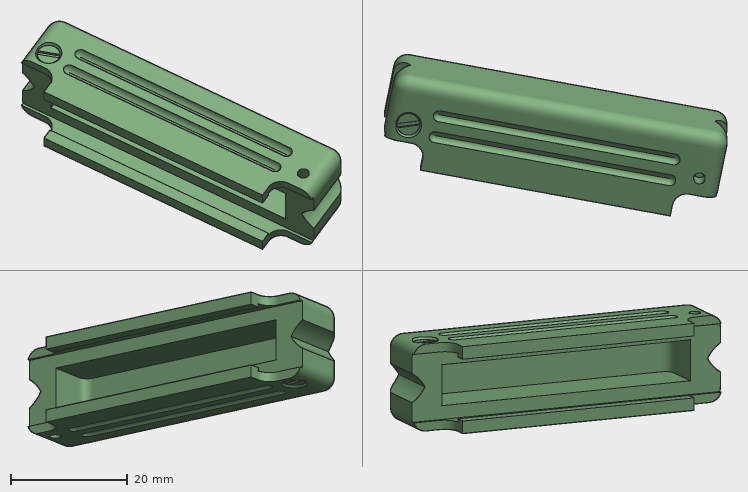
import cadquery as cq

length = 58.4
depth = 15.9
height = 15.35
top = height / 2
edge_radius = 2.4

block_depth = 10.85
ear_depth = 11.4
plate_thickness = 1.65
tab_width = 43.8
tab_corner_radius = 2.45
lip_thickness = 2.2
lip_depth = depth - ear_depth - tab_corner_radius

pocket_width = 47.0
pocket_height = 7.25
pocket_depth = block_depth - edge_radius
pocket_radius = (pocket_width - tab_width) / 2

notch_depth = 2.45
notch_half_height = 2.55
notch_bulge = 0.25

groove_length = 43.25
groove_width = 2.0
groove_depth = 0.9
groove_bulge = 0.2
groove_distances_from_back = (5.65, 9.5)

screw_x = 25.55
screw_distance_from_back = 8.25
recess_diameter = 4.55
recess_floor_diameter = 3.9
recess_depth = 0.4
slot_width = 0.75
slot_depth = 0.45
slot_angle = 19.0
hole_diameter = 2.0
hole_depth = 3.5


def make_box(width, y_front, y_back, z_low, z_high):
    """Box centred on X between the given Y and Z positions."""
    size_y = y_back - y_front
    return (
        cq.Workplane("XY")
        .box(width, size_y, z_high - z_low, centered=(True, False, False))
        .translate((0, y_front, z_low))
    )


def make_block():
    """Plain block, rounded everywhere except around its front face."""
    block = make_box(length, -ear_depth, 0, -top, top)
    block = block.edges("|Z and >Y").fillet(edge_radius)
    return block.faces(">Z or <Z").edges("not <Y").fillet(edge_radius)


def make_tab():
    """Front tab over the full height, with a concave corner where each side meets an ear."""
    tab = make_box(tab_width, -depth, -block_depth, -top, top)
    for side in (-1, 1):
        corner_x = side * tab_width / 2
        corner = (
            cq.Workplane("XY", origin=(0, 0, -top))
            .moveTo(corner_x, -ear_depth)
            .lineTo(corner_x + side * tab_corner_radius, -ear_depth)
            .radiusArc((corner_x, -ear_depth - tab_corner_radius), -side * tab_corner_radius)
            .close()
            .extrude(height)
        )
        tab = tab.union(corner)
    return tab


def make_front_gap():
    """Cutter between the two plates, narrower at the front where the lips are."""
    plate_gap = top - plate_thickness
    lip_gap = top - lip_thickness
    gap = make_box(length, -depth, -block_depth, -lip_gap, lip_gap)
    return gap.union(make_box(length, lip_depth - depth, -block_depth, -plate_gap, plate_gap))


def make_pocket():
    """Cutter for the front pocket, rounded at its two upright back edges."""
    pocket = make_box(
        pocket_width, -block_depth, pocket_depth - block_depth, -pocket_height / 2, pocket_height / 2
    )
    return pocket.edges("|Z and >Y").fillet(pocket_radius)


def make_notch(side):
    """Cutter for the notch along one end; side is -1 or 1."""
    end_x = side * length / 2
    tip = (end_x - side * notch_depth, 0)
    return (
        cq.Workplane("XZ")
        .moveTo(end_x, notch_half_height)
        .sagittaArc(tip, -side * notch_bulge)
        .sagittaArc((end_x, -notch_half_height), -side * notch_bulge)
        .close()
        .extrude(ear_depth)
    )


def make_groove(distance_from_back):
    """Pointed groove cutter with round ends, lying in the top face."""
    half_width = groove_width / 2
    half_straight = groove_length / 2 - half_width
    bar = (
        cq.Workplane("YZ")
        .moveTo(-half_width, 0)
        .sagittaArc((0, -groove_depth), -groove_bulge)
        .sagittaArc((half_width, 0), -groove_bulge)
        .close()
        .extrude(half_straight, both=True)
    )
    round_end = (
        cq.Workplane("XZ")
        .moveTo(0, 0)
        .lineTo(0, -groove_depth)
        .sagittaArc((half_width, 0), -groove_bulge)
        .close()
        .revolve(360, (0, 0, 0), (0, 1, 0))
    )
    for side in (-1, 1):
        bar = bar.union(round_end.translate((side * half_straight, 0, 0)))
    return bar.translate((0, -distance_from_back, top))


def make_screw_recess():
    """Cutter for a tapered recess that leaves a sunken screw head with a driver slot."""
    floor = top - recess_depth
    recess = (
        cq.Workplane("XY")
        .circle(recess_floor_diameter / 2)
        .workplane(offset=recess_depth)
        .circle(recess_diameter / 2)
        .loft()
    )
    slot = (
        cq.Workplane("XY")
        .box(recess_floor_diameter, slot_width, slot_depth, centered=(True, True, False))
        .translate((0, 0, -slot_depth))
        .rotate((0, 0, 0), (0, 0, 1), slot_angle)
    )
    return recess.union(slot).translate((-screw_x, -screw_distance_from_back, floor))


def make_hole():
    """Cutter for the hole opposite the screw."""
    return (
        cq.Workplane("XY", origin=(screw_x, -screw_distance_from_back, top))
        .circle(hole_diameter / 2)
        .extrude(-hole_depth)
    )


result = make_block().union(make_tab()).cut(make_front_gap()).cut(make_pocket())

for end in (-1, 1):
    result = result.cut(make_notch(end))

face_cutters = [make_groove(distance) for distance in groove_distances_from_back]
face_cutters += [make_screw_recess(), make_hole()]

for cutter in face_cutters:
    result = result.cut(cutter)
    result = result.cut(cutter.rotate((0, 0, 0), (0, 1, 0), 180))